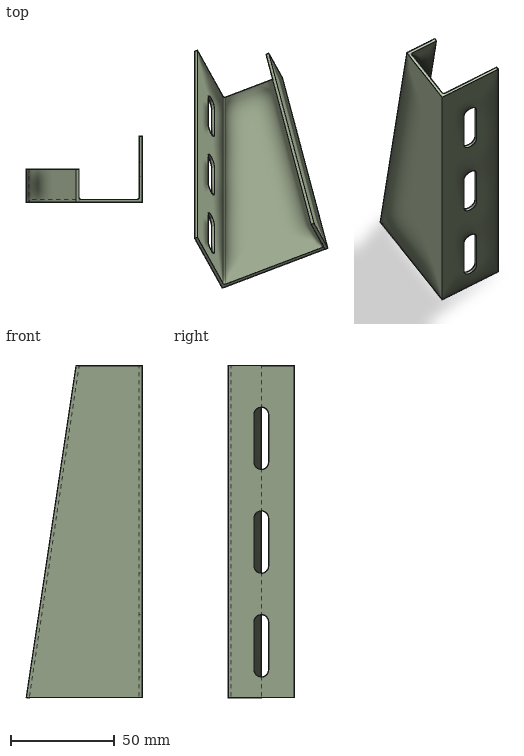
import cadquery as cq
import math

web_height = 160.0
base_width = 56.0
top_width = 32.0
thickness = 1.5
inside_bend_radius = 1.0
wall_depth = 32.0
lip_depth = 16.0

slot_length = 30.0
slot_width = 7.0
slot_pitch = 50.0
slot_count = 3
lowest_slot_z = 25.0
slot_center_y = wall_depth / 2

top_left_x = base_width - top_width
slant = math.atan2(top_left_x, web_height)
lip_rise = thickness * math.sin(slant)
lip_run = thickness * math.cos(slant)
wall_inner_x = base_width - thickness


def extrude_along_y(points, depth):
    """Extrude an XZ outline from Y = 0 to Y = depth."""
    return cq.Workplane("XZ").polyline(points).close().extrude(-depth)


def make_web():
    outline = [
        (0, 0),
        (base_width, 0),
        (base_width, web_height),
        (top_left_x, web_height),
    ]
    return extrude_along_y(outline, thickness)


def make_upright_wall():
    outline = [
        (wall_inner_x, 0),
        (base_width, 0),
        (base_width, web_height),
        (wall_inner_x, web_height),
    ]
    return extrude_along_y(outline, wall_depth)


def make_slanted_lip():
    """Lip along the slanted edge, with both ends cut square to that edge."""
    outline = [
        (0, 0),
        (lip_run, -lip_rise),
        (top_left_x + lip_rise * math.tan(slant) + lip_run, web_height),
        (top_left_x + lip_rise * math.tan(slant), web_height + lip_rise),
    ]
    return extrude_along_y(outline, lip_depth)


def round_inside_bends(body):
    """Round the two inner corners where the flanges meet the web."""
    mid_height = web_height / 2
    lip_inner_x = top_left_x / 2 + thickness / math.cos(slant)
    for corner_x in (wall_inner_x, lip_inner_x):
        corner = cq.selectors.NearestToPointSelector((corner_x, thickness, mid_height))
        body = body.edges(corner).fillet(inside_bend_radius)
    return body


def make_slots():
    centers = [
        (slot_center_y, lowest_slot_z + index * slot_pitch)
        for index in range(slot_count)
    ]
    return (
        cq.Workplane("YZ", origin=(wall_inner_x, 0, 0))
        .pushPoints(centers)
        .slot2D(slot_length, slot_width, 90)
        .extrude(thickness)
    )


channel = make_web().union(make_upright_wall()).union(make_slanted_lip())
result = round_inside_bends(channel).cut(make_slots())